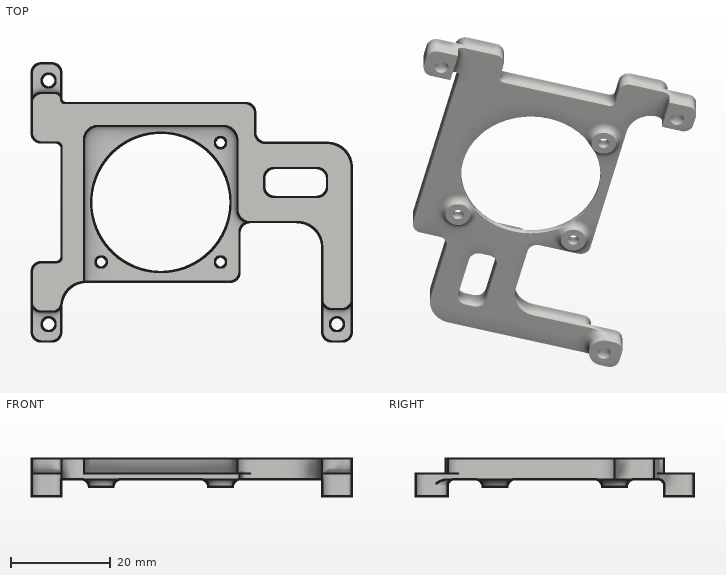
import cadquery as cq
import math

frame_length = 64.43
frame_depth = 56.0
frame_height = 7.6

foot_top = 4.6
web_bottom = 3.4
boss_bottom = 1.9

foot_width = 6.0
left_foot_length = 6.0
right_foot_length = 6.5
heel_radius = 1.2
foot_hole_diameter = 2.75
foot_hole_inset = 3.5
left_hole_inset = 3.43
right_hole_inset = 3.0

rear_edge = 48.0
rear_step_x = 45.0
arm_rear = 40.0
arm_front = 24.0
plate_front = 12.0
plate_right = 41.85
notch_front = 16.0
notch_rear = 40.0
corner_radius = 2.0
notch_root_radius = 1.0
rear_foot_root_radius = 0.75
arm_radius = 5.0
front_foot_root_radius = 5.0
front_leg_inner_radius = 1.75

fan_x = 26.0
fan_y = 28.0
fan_bore_diameter = 28.0
fan_hole_diameter = 2.2
fan_hole_offset = 12.0
recess_left = 10.5
recess_right = 41.4
recess_rear = 43.4
recess_corner_radius = 3.0
recess_exit_radius = 2.5
boss_diameter = 5.0
boss_flare_radius = 1.45

slot_center_x = 53.1
slot_center_y = 32.0
slot_length = 12.6
slot_width = 5.75
slot_corner_radius = 2.0

right_foot_x = frame_length - foot_width
rear_foot_front = frame_depth - left_foot_length
right_heel_x = right_foot_x + foot_width / 2
right_heel_y = right_foot_length - foot_width / 2
rear_leg_inner_radius = rear_foot_front - rear_edge - rear_foot_root_radius

foot_holes = [
    (left_hole_inset, foot_hole_inset),
    (left_hole_inset, frame_depth - foot_hole_inset),
    (frame_length - right_hole_inset, foot_hole_inset),
]
fan_holes = [
    (fan_x - fan_hole_offset, fan_y - fan_hole_offset),
    (fan_x + fan_hole_offset, fan_y - fan_hole_offset),
    (fan_x + fan_hole_offset, fan_y + fan_hole_offset),
]


def rounded_prism(corners, bottom, top):
    """Extrude a closed outline of square (x, y, radius) corners, rounding those with a radius."""
    sketch = cq.Workplane("XY", origin=(0, 0, bottom))
    for index, (x, y, radius) in enumerate(corners):
        before = corners[index - 1]
        after = corners[(index + 1) % len(corners)]
        corner = cq.Vector(x, y)
        to_before = (cq.Vector(before[0], before[1]) - corner).normalized()
        to_after = (cq.Vector(after[0], after[1]) - corner).normalized()
        arc_start = corner + to_before * radius
        arc_middle = corner + (to_before + to_after) * (radius * (1 - math.sqrt(0.5)))
        arc_end = corner + to_after * radius
        if index == 0:
            sketch = sketch.moveTo(arc_start.x, arc_start.y)
        else:
            sketch = sketch.lineTo(arc_start.x, arc_start.y)
        if radius > 0:
            sketch = sketch.threePointArc(arc_middle.toTuple()[:2], arc_end.toTuple()[:2])
    return sketch.close().extrude(top - bottom)


def outline_prism(bottom, top):
    """The whole plan outline: frame, fan plate and feet."""
    corners = [
        (0, 0, corner_radius),
        (foot_width, 0, corner_radius),
        (foot_width, plate_front, front_foot_root_radius),
        (plate_right, plate_front, corner_radius),
        (plate_right, arm_front, corner_radius),
        (right_foot_x, arm_front, arm_radius),
        (right_foot_x, 0, corner_radius),
        (frame_length, 0, corner_radius),
        (frame_length, arm_rear, arm_radius),
        (rear_step_x, arm_rear, corner_radius),
        (rear_step_x, rear_edge, corner_radius),
        (foot_width, rear_edge, rear_foot_root_radius),
        (foot_width, frame_depth, corner_radius),
        (0, frame_depth, corner_radius),
        (0, notch_rear, corner_radius),
        (foot_width, notch_rear, notch_root_radius),
        (foot_width, notch_front, notch_root_radius),
        (0, notch_front, corner_radius),
    ]
    return rounded_prism(corners, bottom, top)


def foot_step(left, foot_end, inward, length, inner_radius):
    """Space above one foot, ending in a rounded leg; inward is +1 or -1 along Y."""
    right = left + foot_width
    leg_end = foot_end + inward * length
    space_end = leg_end + inward * corner_radius
    leg_base = space_end + inward * corner_radius
    space_corners = [
        (left, foot_end, 0),
        (left, space_end, 0),
        (right, space_end, 0),
        (right, foot_end, 0),
    ]
    leg_corners = [
        (left, leg_end, corner_radius),
        (left, leg_base, 0),
        (right, leg_base, 0),
        (right, leg_end, inner_radius),
    ]
    space = rounded_prism(space_corners, foot_top, frame_height)
    return space.cut(rounded_prism(leg_corners, foot_top, frame_height))


def block_between(left, right, front, rear):
    """Block from the underside of the feet up to the underside of the frame."""
    block = cq.Workplane("XY").box(right - left, rear - front, web_bottom, centered=False)
    return block.translate((left, front, 0))


def under_frame_space():
    """Space below the frame; the left heels are straight walls blended into the frame."""
    left_space = block_between(0, foot_width, left_foot_length, rear_foot_front)
    left_space = left_space.edges(">Z and |X").fillet(heel_radius)
    middle_space = block_between(foot_width, right_foot_x, 0, frame_depth)
    right_space = block_between(right_foot_x, frame_length, right_heel_y, frame_depth)
    return left_space.union(middle_space).union(right_space)


def fan_recess():
    """Recess above the fan plate, open to the front and flared out past the arm."""
    beyond = plate_right + corner_radius + recess_exit_radius
    corners = [
        (recess_left, 0, 0),
        (recess_left, recess_rear, recess_corner_radius),
        (recess_right, recess_rear, recess_corner_radius),
        (recess_right, arm_front, recess_exit_radius),
        (beyond, arm_front, 0),
        (beyond, 0, 0),
    ]
    return rounded_prism(corners, foot_top, frame_height)


def flared_post(x, y, diameter, bottom, flare_radius):
    """Round post hanging from the frame, blended into it and kept within the plan outline."""
    radius = diameter / 2
    arc_inset = flare_radius * (1 - math.sqrt(0.5))
    profile = (
        cq.Workplane("XZ")
        .moveTo(0, bottom)
        .lineTo(radius, bottom)
        .lineTo(radius, web_bottom - flare_radius)
        .threePointArc(
            (radius + arc_inset, web_bottom - arc_inset),
            (radius + flare_radius, web_bottom),
        )
        .lineTo(0, web_bottom)
        .close()
    )
    post = profile.revolve(360, (0, 0, 0), (0, 1, 0)).translate((x, y, 0))
    return post.intersect(outline_prism(bottom, web_bottom))


def through_holes(centers, diameter):
    """Round cutters through the full height."""
    return cq.Workplane("XY").pushPoints(centers).circle(diameter / 2).extrude(frame_height)


def arm_slot():
    """Rounded rectangular slot through the arm."""
    slot = cq.Workplane("XY").center(slot_center_x, slot_center_y).rect(slot_length, slot_width)
    return slot.extrude(frame_height).edges("|Z").fillet(slot_corner_radius)


body = outline_prism(0, frame_height)
body = body.cut(under_frame_space())
body = body.cut(foot_step(0, 0, 1, left_foot_length, front_leg_inner_radius))
body = body.cut(foot_step(0, frame_depth, -1, left_foot_length, rear_leg_inner_radius))
body = body.cut(foot_step(right_foot_x, 0, 1, right_foot_length, corner_radius))
body = body.cut(fan_recess())

body = body.union(flared_post(right_heel_x, right_heel_y, foot_width, 0, heel_radius))
for hole_x, hole_y in fan_holes:
    body = body.union(flared_post(hole_x, hole_y, boss_diameter, boss_bottom, boss_flare_radius))

body = body.cut(through_holes([(fan_x, fan_y)], fan_bore_diameter))
body = body.cut(through_holes(fan_holes, fan_hole_diameter))
body = body.cut(through_holes(foot_holes, foot_hole_diameter))
result = body.cut(arm_slot())